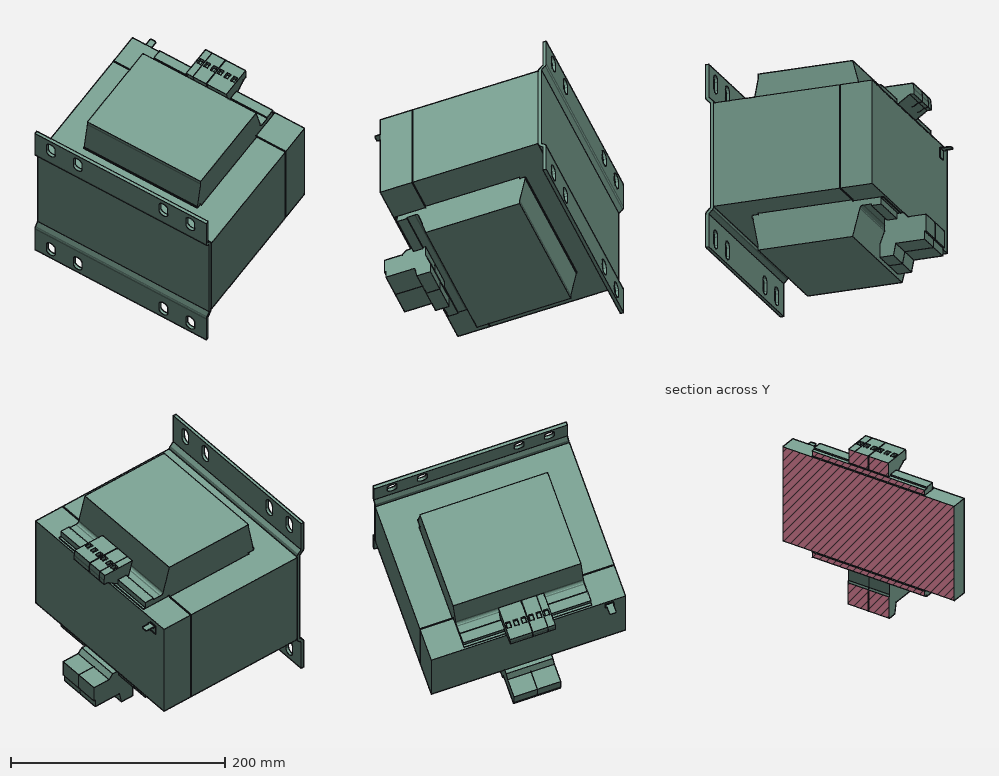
import cadquery as cq
import math


overall_height = 187.8

plate_width = 191.3
plate_height = 183.2
sheet = 3.3
flange_offset = 4.8
flange_bend = 58.6
bend_angle = 45
slot_width = 9.6
slot_length = 18.1
slot_height = 77.7
outer_slot_x = 77.7
inner_slot_x = 47.8

core_width = 192.0
core_depth = 159.3
core_height = 103.7
leg_width = core_width / 6
core_front = flange_offset + sheet
core_back = core_front + core_depth
core_top = core_height / 2
window_front = core_front + leg_width
window_back = core_back - leg_width
window_half_width = core_width / 2 - leg_width
seam_width = 0.8
seam_depth = 0.5

coil_width = 126.3
coil_top = 88.3
coil_back = window_back - 0.5
cap_bottom = core_top + 0.8
cap_front = 33.7
cap_shoulder = 84.3
rim_height = 2.5
rim_step = 0.8
rim_bevel_depth = 1.3
rim_bevel_height = 1.0
ledge_top = 58.5
ledge_front = 145.5
fillet_middle = (143.3, 59.0)
fillet_end = (142.0, 61.0)
ridge_top = 60.0
ridge_front = 153.7
ridge_back = 163.5
lip_back = 165.8
lip_top = cap_bottom + 1.0

block_front = 146.3
block_root = 54.8
block_gap = 0.5
joint_width = 0.2
gap_reach = 231.4

upper_width = 44.7
upper_top = 74.2
upper_foot_front = 150.5
upper_back = 180.0
upper_top_back = 179.3
upper_bevel_bottom = 68.5
upper_overhang_bottom = 63.2
upper_overhang_front = 176.0

wire_hole_width = 4.0
wire_hole_length = 5.8
wire_hole_depth = 3.9
wire_hole_y = 165.0
wire_hole_pitch = 7.5
wire_hole_count = 6

lower_width = 46.3
lower_bottom = plate_height / 2 - overall_height
lower_neck_front = 151.2
lower_neck_bottom = -70.4
lower_slope_bottom = -83.5
lower_nose_back = 160
lower_nose_root = 162.3
lower_body_bottom = -84.5
lower_step_back = 191.3
lower_step_height = -76.3
lower_back = 192.8
lower_body_top = -59.5
lower_ramp_back = 174.9
lower_ramp_front = 170.5

tab_x = -79.8
tab_width = 8.1
tab_blade_width = 6.5
tab_thickness = 0.8
tab_top = 47.2
tab_bottom = 37.4
tab_neck_back = 170.5
tab_back = 178.3
tab_end_chamfer = 1.0


def box(x_range, y_range, z_range):
    """Axis-aligned block between the given limits."""
    size = [high - low for low, high in (x_range, y_range, z_range)]
    corner = (x_range[0], y_range[0], z_range[0])
    return cq.Workplane("XY").box(*size, centered=False).translate(corner)


def around(middle, width):
    """Limits of a span of the given width about its middle."""
    return (middle - width / 2, middle + width / 2)


def across(outline, width):
    """Close a (Y, Z) outline and extrude it symmetrically along X."""
    return outline.close().extrude(width / 2, both=True)


def make_core():
    full_height = around(0, core_height)
    window_depth = (window_front, window_back)
    core = box(around(0, core_width), (core_front, core_back), full_height)
    window = box(around(0, 2 * window_half_width), window_depth, full_height)
    middle_leg = box(around(0, 2 * leg_width), window_depth, full_height)

    seam_range = (window_back - seam_width, window_back)
    seam_outer = box(around(0, core_width), seam_range, full_height)
    seam_inner = box(
        around(0, core_width - 2 * seam_depth),
        seam_range,
        around(0, core_height - 2 * seam_depth),
    )
    seam = seam_outer.cut(seam_inner)
    return core.cut(seam).cut(window).union(middle_leg)


def make_plate():
    """Flat panel with two flanges, each joggled by a pair of bends.

    Each bend is sharp inside and has a radius of one sheet thickness outside.
    """
    half_height = plate_height / 2
    end_y = sheet * math.cos(math.radians(bend_angle))
    end_z = sheet * math.sin(math.radians(bend_angle))
    middle_y = sheet * math.cos(math.radians(bend_angle / 2))
    middle_z = sheet * math.sin(math.radians(bend_angle / 2))
    slope_depth = flange_offset - (sheet - end_y)
    slope_height = slope_depth / math.tan(math.radians(bend_angle))
    panel_bend = flange_bend - end_z - slope_height
    outline = (
        cq.Workplane("YZ")
        .moveTo(flange_offset, 0)
        .lineTo(flange_offset, panel_bend)
        .lineTo(sheet - end_y, flange_bend - end_z)
        .threePointArc((sheet - middle_y, flange_bend - middle_z), (0, flange_bend))
        .lineTo(0, half_height)
        .lineTo(sheet, half_height)
        .lineTo(sheet, flange_bend)
        .lineTo(flange_offset + end_y, panel_bend + end_z)
        .threePointArc((flange_offset + middle_y, panel_bend + middle_z), (core_front, panel_bend))
        .lineTo(core_front, 0)
    )
    upper_half = across(outline, plate_width)
    plate = upper_half.union(upper_half.mirror("XY"))

    slot_places = [
        (x, z)
        for x in (-outer_slot_x, -inner_slot_x, inner_slot_x, outer_slot_x)
        for z in (-slot_height, slot_height)
    ]
    slots = (
        cq.Workplane("XZ")
        .pushPoints(slot_places)
        .slot2D(slot_length, slot_width, 90)
        .extrude(-sheet)
    )
    return plate.cut(slots)


def make_coil():
    """Winding through the core window plus the two mirrored end caps."""
    winding = box(around(0, coil_width), (window_front, coil_back), around(0, 2 * cap_bottom))
    outline = (
        cq.Workplane("YZ")
        .moveTo(cap_front + rim_bevel_depth, cap_bottom)
        .lineTo(cap_front, cap_bottom + rim_bevel_height)
        .lineTo(cap_front, cap_bottom + rim_height)
        .lineTo(cap_front + rim_step, cap_bottom + rim_height)
        .lineTo(window_front, cap_shoulder)
        .lineTo(window_front, coil_top)
        .lineTo(coil_back, coil_top)
        .lineTo(*fillet_end)
        .threePointArc(fillet_middle, (ledge_front, ledge_top))
        .lineTo(ridge_front, ledge_top)
        .lineTo(ridge_front, ridge_top)
        .lineTo(ridge_back, ridge_top)
        .lineTo(ridge_back, lip_top)
        .lineTo(lip_back, lip_top)
        .lineTo(lip_back, cap_bottom)
    )
    cap = across(outline, coil_width)
    return winding.union(cap).union(cap.mirror("XY"))


def make_upper_blocks():
    outline = [
        (block_front, upper_top),
        (upper_top_back, upper_top),
        (upper_back, upper_bevel_bottom),
        (upper_back, upper_overhang_bottom),
        (upper_overhang_front, upper_overhang_bottom),
        (ridge_back, block_root),
        (upper_foot_front, block_root),
        (upper_foot_front, ledge_top),
    ]
    blocks = across(cq.Workplane("YZ").polyline(outline), upper_width)

    gap_height = (ridge_top, upper_top)
    gap = box(around(0, block_gap), (0, gap_reach), gap_height)
    joint = box(around(-2 * wire_hole_pitch, joint_width), (0, gap_reach), gap_height)

    first_hole = -wire_hole_pitch * (wire_hole_count - 1) / 2
    holes = (
        cq.Workplane("XY", origin=(0, wire_hole_y, upper_top))
        .pushPoints([(first_hole + i * wire_hole_pitch, 0) for i in range(wire_hole_count)])
        .rect(wire_hole_width, wire_hole_length)
        .extrude(-wire_hole_depth)
    )
    return blocks.cut(gap).cut(joint).cut(holes)


def make_lower_blocks():
    outline = [
        (lower_neck_front, -block_root),
        (lower_neck_front, lower_neck_bottom),
        (block_front, lower_slope_bottom),
        (block_front, lower_bottom),
        (lower_nose_back, lower_bottom),
        (lower_nose_root, lower_body_bottom),
        (lower_step_back, lower_body_bottom),
        (lower_step_back, lower_step_height),
        (lower_back, lower_step_height),
        (lower_back, lower_body_top),
        (lower_ramp_back, lower_body_top),
        (lower_ramp_front, -block_root),
    ]
    blocks = across(cq.Workplane("YZ").polyline(outline), lower_width)
    joint = box(around(0, joint_width), (0, gap_reach), (lower_bottom, -ridge_top))
    return blocks.cut(joint)


def make_tab():
    """Thin angle on the back of the core: a foot, and a blade with a wider neck."""
    blade_height = (tab_top - tab_thickness, tab_top)
    foot = box(
        around(tab_x, tab_width),
        (core_back, core_back + tab_thickness),
        (tab_bottom, tab_top),
    )
    neck = box(around(tab_x, tab_width), (core_back, tab_neck_back), blade_height)
    blade = box(around(tab_x, tab_blade_width), (core_back, tab_back), blade_height)
    blade = blade.edges("|Z and >Y").chamfer(tab_end_chamfer)
    return foot.union(neck).union(blade)


result = (
    make_core()
    .union(make_plate())
    .union(make_coil())
    .union(make_upper_blocks())
    .union(make_lower_blocks())
    .union(make_tab())
)